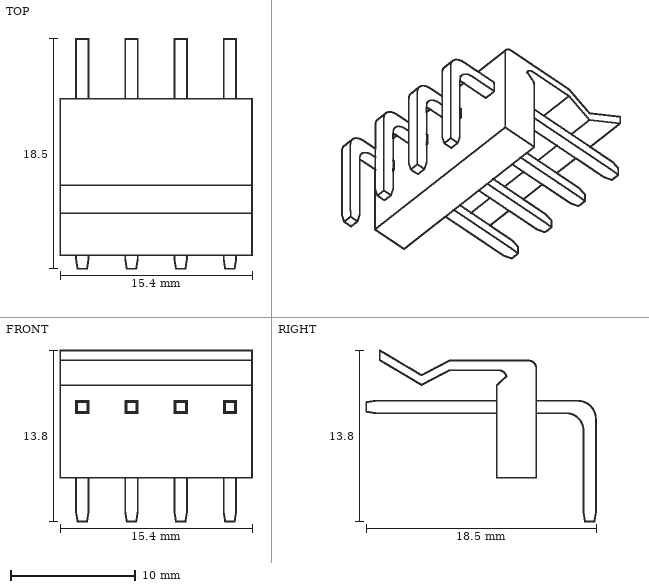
import cadquery as cq
import math

HOUSING_LENGTH = 15.45
OVERALL_DEPTH = 18.5
OVERALL_HEIGHT = 13.78

BLOCK_FRONT = 10.5
BLOCK_THICKNESS = 3.2
BLOCK_BOTTOM = 3.52
BLOCK_FRONT_TOP = 10.97
BACK_EDGE_RADIUS = 0.67

ARM_TOP = 12.97
ARM_THICKNESS = 0.8
ARM_BEND_Y = 6.72
ARM_DIP_Y = 4.45
ARM_DIP_DROP = 1.18
ARM_TIP_Y = 1.1

NOTCH_DEPTH = 0.78
NOTCH_RISE = 0.72
NOTCH_RADIUS = 0.67

PIN_COUNT = 4
PIN_PITCH = 3.95
PIN_SIZE = 1.02
PIN_TOP = 9.73
BEND_OUTER_RADIUS = 1.48
BEND_INNER_RADIUS = 1.39
TIP_LENGTH = 0.75
TIP_SIZE = 0.78


def make_housing():
    """Block and locking arm as one profile in the YZ plane, extruded along X."""
    block_back = BLOCK_FRONT + BLOCK_THICKNESS
    arm_bottom = ARM_TOP - ARM_THICKNESS
    dip_top = ARM_TOP - ARM_DIP_DROP
    notch_y = BLOCK_FRONT + NOTCH_DEPTH
    notch_z = BLOCK_FRONT_TOP + NOTCH_RISE

    notch_drop = arm_bottom - notch_z
    notch_run = math.sqrt(NOTCH_RADIUS**2 - (NOTCH_RADIUS - notch_drop) ** 2)

    return (
        cq.Workplane("YZ")
        .moveTo(BLOCK_FRONT, BLOCK_BOTTOM)
        .lineTo(block_back, BLOCK_BOTTOM)
        .lineTo(block_back, ARM_TOP - BACK_EDGE_RADIUS)
        .radiusArc((block_back - BACK_EDGE_RADIUS, ARM_TOP), -BACK_EDGE_RADIUS)
        .lineTo(ARM_BEND_Y, ARM_TOP)
        .lineTo(ARM_DIP_Y, dip_top)
        .lineTo(ARM_TIP_Y, OVERALL_HEIGHT)
        .lineTo(ARM_TIP_Y, OVERALL_HEIGHT - ARM_THICKNESS)
        .lineTo(ARM_DIP_Y, dip_top - ARM_THICKNESS)
        .lineTo(ARM_BEND_Y, arm_bottom)
        .lineTo(notch_y - notch_run, arm_bottom)
        .radiusArc((notch_y, notch_z), NOTCH_RADIUS)
        .lineTo(BLOCK_FRONT, BLOCK_FRONT_TOP)
        .close()
        .extrude(HOUSING_LENGTH)
    )


def make_tip(base_plane):
    """Tapered square pin end, growing along the normal of base_plane."""
    return (
        cq.Workplane(base_plane)
        .rect(PIN_SIZE, PIN_SIZE)
        .workplane(offset=TIP_LENGTH)
        .rect(TIP_SIZE, TIP_SIZE)
        .loft(ruled=True)
    )


def make_pin(center_x):
    """L-shaped square pin: straight front arm, rounded bend and downward tail."""
    pin_bottom = PIN_TOP - PIN_SIZE
    tail_front = OVERALL_DEPTH - PIN_SIZE
    half_size = PIN_SIZE / 2

    shank = (
        cq.Workplane("YZ", origin=(center_x - half_size, 0, 0))
        .moveTo(TIP_LENGTH, PIN_TOP)
        .lineTo(OVERALL_DEPTH - BEND_OUTER_RADIUS, PIN_TOP)
        .radiusArc((OVERALL_DEPTH, PIN_TOP - BEND_OUTER_RADIUS), BEND_OUTER_RADIUS)
        .lineTo(OVERALL_DEPTH, TIP_LENGTH)
        .lineTo(tail_front, TIP_LENGTH)
        .lineTo(tail_front, pin_bottom - BEND_INNER_RADIUS)
        .radiusArc((tail_front - BEND_INNER_RADIUS, pin_bottom), -BEND_INNER_RADIUS)
        .lineTo(TIP_LENGTH, pin_bottom)
        .close()
        .extrude(PIN_SIZE)
    )
    front_plane = cq.Plane(
        origin=(center_x, TIP_LENGTH, PIN_TOP - half_size), xDir=(1, 0, 0), normal=(0, -1, 0)
    )
    tail_plane = cq.Plane(
        origin=(center_x, OVERALL_DEPTH - half_size, TIP_LENGTH), xDir=(1, 0, 0), normal=(0, 0, -1)
    )
    return shank.union(make_tip(front_plane)).union(make_tip(tail_plane))


result = make_housing()
first_pin_x = (HOUSING_LENGTH - (PIN_COUNT - 1) * PIN_PITCH) / 2
for index in range(PIN_COUNT):
    result = result.union(make_pin(first_pin_x + index * PIN_PITCH))